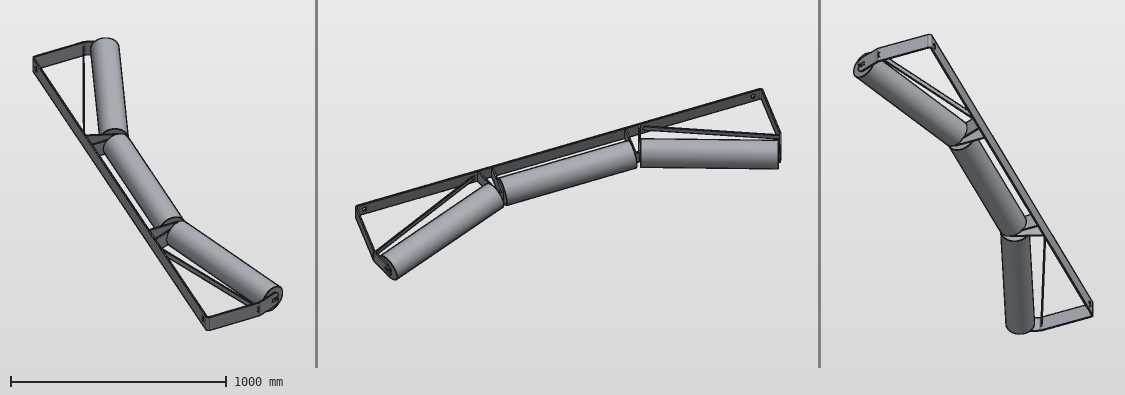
import cadquery as cq
import math

frame_length = 2000.0
strip_width = 80.0
strip_thickness = 7.0
bend_radius = 2 * strip_thickness

trough_angle = 20.0
roller_diameter = 135.0
roller_length = 640.0
roller_chamfer = 2.0
roller_gap = 3.0
centre_roller_y = 125.0
wing_roller_x = 658.0
wing_roller_y = 242.0
shaft_size = 17.0

tip_height = 30.0
tip_corner_radius = 30.0
bolt_hole_width = 18.0
bolt_hole_height = 30.0
bolt_hole_x = 955.0

bracket_height = 152.0

strut_height = 28.0
strut_thickness = 5.0
strut_foot_x = 420.0
strut_top_y = 262.0

half_length = frame_length / 2
shaft_length = roller_length + 2 * (roller_gap + strip_thickness)
tilt_cos = math.cos(math.radians(trough_angle))
tilt_sin = math.sin(math.radians(trough_angle))


def wing_point(along, above):
    """Point on the right wing: `along` its roller axis (outwards) and `above` it, from the roller middle."""
    return (
        wing_roller_x + along * tilt_cos - above * tilt_sin,
        wing_roller_y + along * tilt_sin + above * tilt_cos,
    )


def wing_face_x(along, y):
    """X at height `y` of the plane square to the right wing roller axis, at `along` from its middle."""
    axis_x, axis_y = wing_point(along, 0)
    return axis_x - (y - axis_y) * tilt_sin / tilt_cos


def wing_face_y(along, x):
    """Y at position `x` of the same plane."""
    axis_x, axis_y = wing_point(along, 0)
    return axis_y - (x - axis_x) * tilt_cos / tilt_sin


def extrude_outline(points, width):
    """Prism with an XY outline, centred on Z = 0."""
    return cq.Workplane("XY").polyline(points).close().extrude(width / 2, both=True)


def mirror_to_left(body):
    return body.mirror("YZ")


def place_on_right_wing(body):
    """Move a body built along X at the origin onto the right wing roller axis."""
    return body.rotate((0, 0, 0), (0, 0, 1), trough_angle).translate((wing_roller_x, wing_roller_y, 0))


def place_at_centre(body):
    return body.translate((0, centre_roller_y, 0))


def make_roller():
    drum = (
        cq.Workplane("YZ")
        .workplane(offset=-roller_length / 2)
        .circle(roller_diameter / 2)
        .extrude(roller_length)
        .faces("<X or >X")
        .chamfer(roller_chamfer)
    )
    shaft = cq.Workplane("XY").box(shaft_length, shaft_size, shaft_size)
    return drum.union(shaft)


def make_right_strut():
    run = half_length - strut_foot_x
    rise = strut_top_y - strip_thickness
    half_thickness_y = strut_thickness / 2 * math.hypot(run, rise) / run
    half_foot_x = strut_thickness / 2 * math.hypot(run, rise) / rise
    outline = [
        (strut_foot_x - half_foot_x, strip_thickness),
        (strut_foot_x + half_foot_x, strip_thickness),
        (half_length, strut_top_y - half_thickness_y),
        (half_length, strut_top_y + half_thickness_y),
    ]
    return extrude_outline(outline, strut_height)


def frame_region(inset, radius, strap_height):
    """Solid inside the frame face that lies `inset` inwards from the outer face."""
    along = shaft_length / 2 - inset
    wall_x = half_length - inset
    bend_y = wing_face_y(along, wall_x)
    tip_x, tip_y = wing_point(along, strap_height)
    points = [
        (-wall_x, inset),
        (wall_x, inset),
        (wall_x, bend_y),
        (tip_x, tip_y),
        (-tip_x, tip_y),
        (-wall_x, bend_y),
    ]
    region = extrude_outline(points, strip_width)
    for x, y in [(wall_x, inset), (wall_x, bend_y)]:
        for side in (-1, 1):
            corner = cq.selectors.NearestToPointSelector((side * x, y, 0))
            region = region.edges("|Z").edges(corner).fillet(radius)
    return region


def strap_slot():
    """Open slot for the shaft, from the tip of the right strap down to under the shaft."""
    reach = tip_height + strip_thickness
    slot_length = reach + shaft_size / 2
    slot = cq.Workplane("XY").box(shaft_length, slot_length, shaft_size)
    return slot.translate((0, (reach - shaft_size / 2) / 2, 0))


def strap_tip_trim():
    """Everything outside the rounded, square-cut tip of the right strap."""
    block_height = 4 * tip_height
    block = (
        cq.Workplane("YZ")
        .center(block_height / 2, 0)
        .rect(block_height, 2 * strip_width)
        .extrude(shaft_length)
    )
    strap = (
        cq.Workplane("YZ")
        .rect(2 * tip_height, strip_width)
        .extrude(shaft_length)
        .edges("|X and >Y")
        .fillet(tip_corner_radius)
    )
    return block.cut(strap)


def make_frame():
    outer = frame_region(0, bend_radius, 2 * tip_height)
    inner = frame_region(strip_thickness, bend_radius - strip_thickness, 3 * tip_height)
    frame = outer.cut(inner)
    tip_cutters = place_on_right_wing(strap_tip_trim().union(strap_slot()))
    bolt_hole = (
        cq.Workplane("XZ")
        .center(bolt_hole_x, 0)
        .slot2D(bolt_hole_height, bolt_hole_width, 90)
        .extrude(-strip_thickness)
    )
    for cutter in (tip_cutters, bolt_hole, make_right_strut()):
        frame = frame.cut(cutter).cut(mirror_to_left(cutter))
    return frame


def bracket_region(inset, bottom_y):
    left_x = roller_length / 2 + roller_gap + inset
    right_along = -(roller_length / 2 + roller_gap + inset)
    top_y = bracket_height - inset
    return extrude_outline(
        [
            (left_x, bottom_y),
            (wing_face_x(right_along, bottom_y), bottom_y),
            (wing_face_x(right_along, top_y), top_y),
            (left_x, top_y),
        ],
        strip_width,
    )


def make_right_bracket():
    bracket = bracket_region(0, strip_thickness).cut(bracket_region(strip_thickness, strip_thickness))
    return bracket.cut(place_at_centre(make_roller())).cut(place_on_right_wing(make_roller()))


frame = make_frame()
centre_roller = place_at_centre(make_roller())
right_bodies = [place_on_right_wing(make_roller()), make_right_bracket(), make_right_strut()]

bodies = [frame, centre_roller]
for body in right_bodies:
    bodies += [body, mirror_to_left(body)]

result = cq.Compound.makeCompound([body.val() for body in bodies])